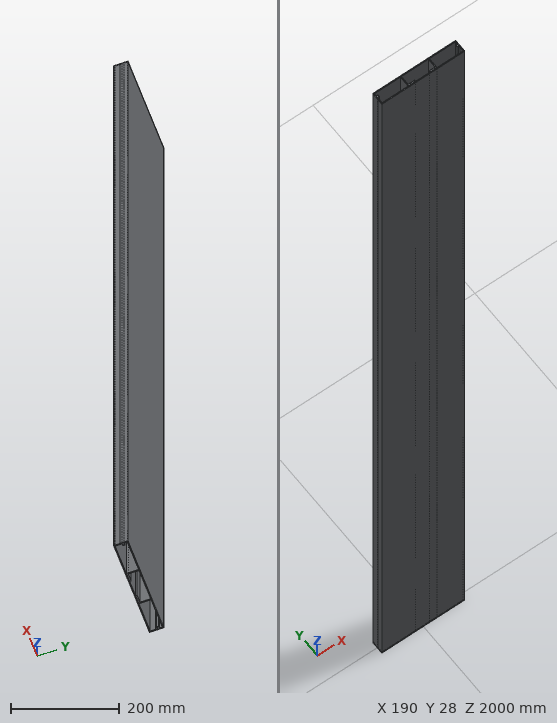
import cadquery as cq

length = 2000.0
width = 190.0
depth = 28.0

wall = 2.0
web_wall = 2.0
foot_wall = 3.0
lip_reach = 5.0
lip_y = 2.0
lip_height = 5.0
joint_y = -2.0
web_offset = 32.0
foot_reach = 15.0

half_width = width / 2
half_depth = depth / 2
inner_half_width = half_width - wall
front_inner_y = -half_depth + wall
back_inner_y = half_depth - wall


def bar(x_1, x_2, y_min, y_max):
    """Full-length bar between two X positions, in either order, and two Y positions."""
    return (
        cq.Workplane("XY")
        .box(abs(x_2 - x_1), y_max - y_min, length, centered=False)
        .translate((min(x_1, x_2), y_min, 0))
    )


def make_cover():
    """Shallow channel on the -Y side, open toward +Y."""
    outer = bar(-half_width, half_width, -half_depth, joint_y)
    return outer.cut(bar(-inner_half_width, inner_half_width, front_inner_y, joint_y))


def make_web(side):
    """L-shaped divider whose foot rests on the cover and points to the middle."""
    web_x = side * web_offset
    upright = bar(web_x - web_wall / 2, web_x + web_wall / 2, front_inner_y, back_inner_y)
    foot_end_x = side * (web_offset - foot_reach)
    foot = bar(web_x, foot_end_x, front_inner_y, front_inner_y + foot_wall)
    return upright.union(foot)


def make_lip(side):
    """Ledge along the inside of a base side wall, near its free edge."""
    root_x = side * inner_half_width
    return bar(root_x, root_x - side * lip_reach, lip_y, lip_y + lip_height)


def make_base():
    """Channel on the +Y side, open toward -Y, with two webs that reach the cover."""
    outer = bar(-half_width, half_width, joint_y, half_depth)
    base = outer.cut(bar(-inner_half_width, inner_half_width, joint_y, back_inner_y))
    for side in (-1, 1):
        base = base.union(make_web(side)).union(make_lip(side))
    return base


cover = make_cover()
base = make_base()

result = cq.Compound.makeCompound([cover.val(), base.val()])